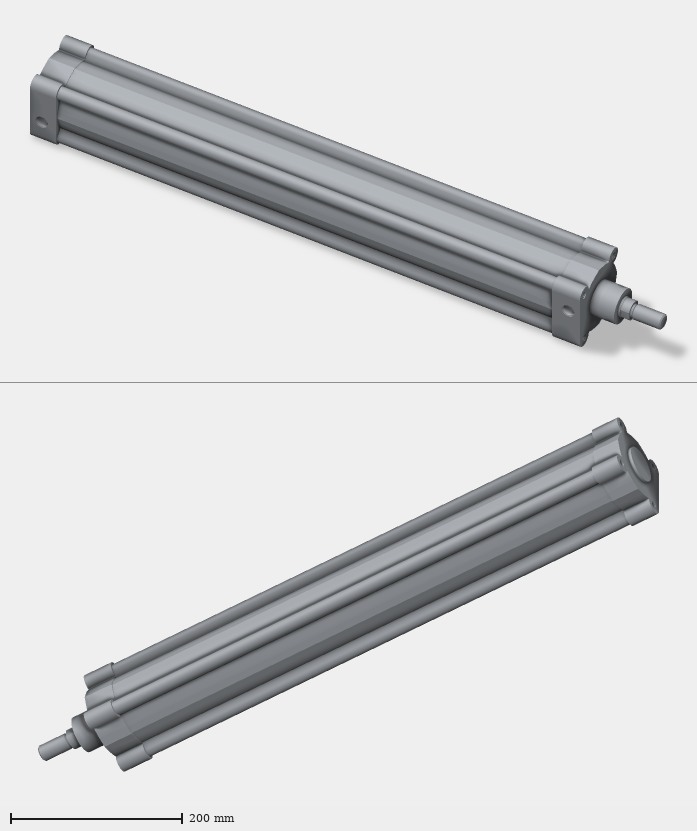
import cadquery as cq
import math


rear_boss_length = 4.0
rear_cap_length = 34.0
barrel_length = 657.0
front_cap_length = 37.0
front_boss_length = 32.0
bearing_ring_length = 2.5
overall_length = 818.0

rear_cap_start = rear_boss_length
barrel_start = rear_cap_start + rear_cap_length
front_cap_start = barrel_start + barrel_length
front_boss_start = front_cap_start + front_cap_length
bearing_ring_start = front_boss_start + front_boss_length

cap_width = 94.0
cap_radius = 43.0
cap_ridge_half_width = 11.5
tie_pitch = 72.0
lobe_radius = (cap_width - tie_pitch) / 2
lobe_root_fillet = 1.2
position_tolerance = 0.01
boss_diameter = 45.0
tie_hole_diameter = 7.0
tie_hole_mouth_diameter = 10.0
tie_hole_depth = 16.0
tie_hole_mouth_depth = 1.0

port_diameter = 15.5
port_mouth_diameter = 17.0
port_mouth_depth = 1.0
port_depth = 12.0
port_height = 12.0
rear_port_from_barrel = 19.0
front_port_from_barrel = 21.0

barrel_radius = 42.5
barrel_ridge_half_width = 9.0
tie_cover_radius = 8.0

rod_radius = 12.0
bearing_ring_radius = 13.0
wrench_flat_width = 22.0
thread_diameter = 20.0
thread_length = 38.0
thread_chamfer = 2.0
neck_radius = 9.0
neck_length = 2.5

thread_start = overall_length - thread_length
neck_start = thread_start - neck_length
wrench_flat_start = bearing_ring_start + bearing_ring_length
wrench_flat_length = neck_start - wrench_flat_start


def disc(start, length, radius):
    """Solid cylinder on the X axis."""
    return cq.Workplane("YZ", origin=(start, 0, 0)).circle(radius).extrude(length)


def tie_posts(start, length, radius):
    """Four cylinders along X at the tie rod corners."""
    return (
        cq.Workplane("YZ", origin=(start, 0, 0))
        .rect(tie_pitch, tie_pitch, forConstruction=True)
        .vertices()
        .circle(radius)
        .extrude(length)
    )


def ridge(start, length, radius, half_width, turn):
    """Roof-shaped ridge whose two flats run tangent into a cylinder; a turn of 0 puts it on the +Z side."""
    tangent_height = math.sqrt(radius**2 - half_width**2)
    peak_height = radius**2 / tangent_height
    outline = [(0, 0), (half_width, tangent_height), (0, peak_height), (-half_width, tangent_height)]
    wedge = cq.Workplane("YZ", origin=(start, 0, 0)).polyline(outline).close().extrude(length)
    return wedge.rotate((0, 0, 0), (1, 0, 0), turn)


def fillet_lobe_roots(block):
    """Round the lengthwise inner corners where the lobes meet the round cap."""
    roots = [
        edge
        for edge in block.edges("|X").vals()
        if abs(math.hypot(edge.Center().y, edge.Center().z) - cap_radius) < position_tolerance
        and min(abs(edge.Center().y), abs(edge.Center().z)) > cap_radius / 2
    ]
    return block.newObject(roots).fillet(lobe_root_fillet)


def cap_block(start, length):
    """Round cap with four corner lobes and a flat face on the -Y side."""
    flat_side = cq.Workplane("XY").box(length, cap_width / 2, tie_pitch, centered=(False, False, True))
    block = disc(start, length, cap_radius)
    for turn in (0, -90, 180):
        block = block.union(ridge(start, length, cap_radius, cap_ridge_half_width, turn))
    block = block.union(tie_posts(start, length, lobe_radius))
    block = block.union(flat_side.translate((start, -cap_width / 2, 0)))
    return fillet_lobe_roots(block)


def port(x, z):
    """Blind port with a stepped mouth, drilled from the flat -Y face."""
    face = cq.Workplane("XZ", origin=(x, -cap_width / 2, z))
    hole = face.circle(port_diameter / 2).extrude(-port_depth)
    mouth = face.circle(port_mouth_diameter / 2).extrude(-port_mouth_depth)
    return hole.union(mouth)


def make_rear_cap():
    cap = cap_block(rear_cap_start, rear_cap_length)
    cap = cap.union(disc(0, rear_boss_length, boss_diameter / 2))
    cap = cap.cut(tie_posts(rear_cap_start, tie_hole_depth, tie_hole_diameter / 2))
    cap = cap.cut(tie_posts(rear_cap_start, tie_hole_mouth_depth, tie_hole_mouth_diameter / 2))
    return cap.cut(port(barrel_start - rear_port_from_barrel, -port_height))


def make_front_cap():
    cap = cap_block(front_cap_start, front_cap_length)
    cap = cap.union(disc(front_boss_start, front_boss_length, boss_diameter / 2))
    cap = cap.union(disc(bearing_ring_start, bearing_ring_length, bearing_ring_radius))
    cap = cap.cut(tie_posts(front_boss_start - tie_hole_depth, tie_hole_depth, tie_hole_diameter / 2))
    mouth_start = front_boss_start - tie_hole_mouth_depth
    cap = cap.cut(tie_posts(mouth_start, tie_hole_mouth_depth, tie_hole_mouth_diameter / 2))
    cap = cap.cut(port(front_cap_start + front_port_from_barrel, port_height))
    bore_length = front_cap_length + front_boss_length + bearing_ring_length
    return cap.cut(disc(front_cap_start, bore_length, rod_radius))


def make_barrel():
    barrel = disc(barrel_start, barrel_length, barrel_radius)
    for turn in (0, 90, 180, 270):
        barrel = barrel.union(ridge(barrel_start, barrel_length, barrel_radius, barrel_ridge_half_width, turn))
    barrel = barrel.union(tie_posts(barrel_start, barrel_length, tie_cover_radius))
    web = cq.Workplane("XY").box(
        barrel_length, math.sqrt(2) * tie_pitch, 2 * tie_cover_radius, centered=(False, True, True)
    )
    for turn in (45, 135):
        barrel = barrel.union(web.rotate((0, 0, 0), (1, 0, 0), turn).translate((barrel_start, 0, 0)))
    return barrel


def make_piston_rod():
    shank = disc(front_cap_start, neck_start - front_cap_start, rod_radius)
    flat_bar = cq.Workplane("XY").box(
        wrench_flat_length, wrench_flat_width, 2 * rod_radius, centered=(False, True, True)
    )
    flat_bar = flat_bar.translate((wrench_flat_start, 0, 0))
    round_section = disc(wrench_flat_start, wrench_flat_length, rod_radius)
    shank = shank.cut(round_section.cut(flat_bar))
    neck = disc(neck_start, neck_length, neck_radius)
    thread = disc(thread_start, thread_length, thread_diameter / 2).edges().chamfer(thread_chamfer)
    return shank.union(neck).union(thread)


rear_cap = make_rear_cap()
barrel = make_barrel()
front_cap = make_front_cap()
piston_rod = make_piston_rod()

result = cq.Compound.makeCompound([rear_cap.val(), barrel.val(), front_cap.val(), piston_rod.val()])